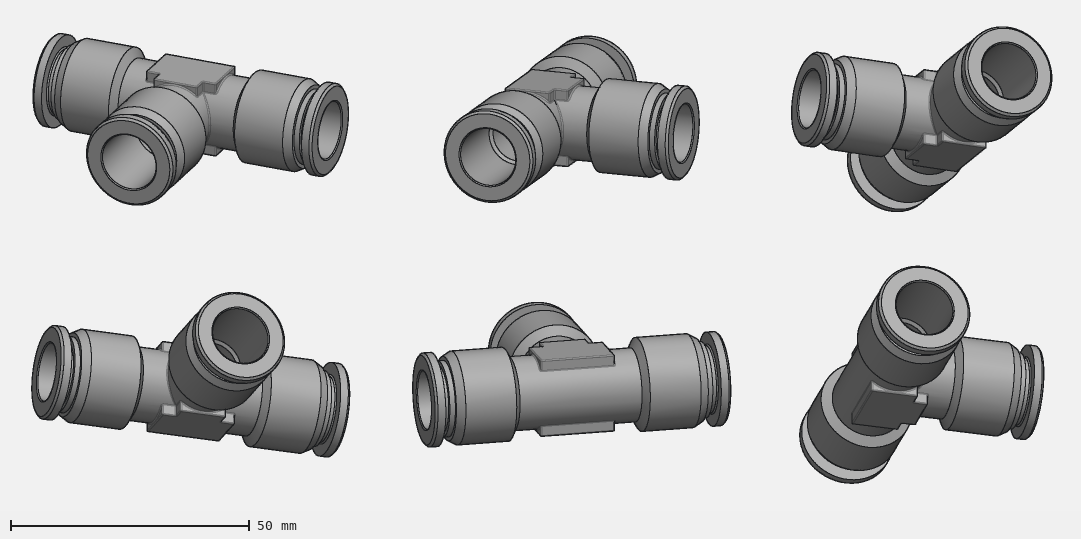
import cadquery as cq
PORT_REACH = 32.0
PORT_ANGLES = (0, 180, -90)

FLANGE_RADIUS = 9.92
FLANGE_THICKNESS = 2.2
FLANGE_CHAMFER = 0.5
NECK_RADIUS = 7.1
NECK_LENGTH = 1.35
NECK_FLARE = 0.3
RING_RADIUS = 8.05
RING_LENGTH = 1.2

SLEEVE_RADIUS = 9.9
SLEEVE_TIP_RADIUS = 8.9
SLEEVE_TIP_LENGTH = 1.8
SLEEVE_LENGTH = 14.05
SLEEVE_ROOT_LENGTH = 1.25

PIPE_RADIUS = 7.8

MOUTH_CHAMFER = 0.25
SOCKET_RADIUS = 6.15
PASSAGE_RADIUS = 5.5

PAD_HALF_WIDTH = 8.0
PAD_HALF_DEPTH = 5.0
TONGUE_HALF_WIDTH = 5.0
TONGUE_END = 8.0
PAD_HALF_HEIGHT = 8.35
JUNCTION_FILLET = 0.25
EDGE_TOLERANCE = 0.01

FLANGE_BACK = PORT_REACH - FLANGE_THICKNESS
NECK_BACK = FLANGE_BACK - NECK_LENGTH
SLEEVE_TIP = NECK_BACK - RING_LENGTH
SLEEVE_FRONT = SLEEVE_TIP - SLEEVE_TIP_LENGTH
SLEEVE_ROOT = SLEEVE_TIP - SLEEVE_LENGTH
SLEEVE_BACK = SLEEVE_ROOT + SLEEVE_ROOT_LENGTH
SOCKET_END = SLEEVE_BACK
STOP_END = SOCKET_END - (SOCKET_RADIUS - PASSAGE_RADIUS)


def revolve_port(profile, angle):
    """Revolve a closed (distance, radius) profile about X, then turn it about Z."""
    port = cq.Workplane("XY").polyline(profile).close().revolve(360, (0, 0, 0), (1, 0, 0))
    return port.rotate((0, 0, 0), (0, 0, 1), angle)


def pipe_stub(angle):
    profile = [(0, 0), (0, PIPE_RADIUS), (SLEEVE_ROOT, PIPE_RADIUS), (SLEEVE_ROOT, 0)]
    return revolve_port(profile, angle)


def port_end(angle):
    profile = [
        (SLEEVE_ROOT, 0),
        (SLEEVE_ROOT, PIPE_RADIUS),
        (SLEEVE_BACK, SLEEVE_RADIUS),
        (SLEEVE_FRONT, SLEEVE_RADIUS),
        (SLEEVE_TIP, SLEEVE_TIP_RADIUS),
        (SLEEVE_TIP, RING_RADIUS),
        (NECK_BACK, RING_RADIUS),
        (NECK_BACK, NECK_RADIUS),
        (FLANGE_BACK - NECK_FLARE, NECK_RADIUS),
        (FLANGE_BACK, NECK_RADIUS + NECK_FLARE),
        (FLANGE_BACK, FLANGE_RADIUS),
        (PORT_REACH - FLANGE_CHAMFER, FLANGE_RADIUS),
        (PORT_REACH, FLANGE_RADIUS - FLANGE_CHAMFER),
        (PORT_REACH, 0),
    ]
    return revolve_port(profile, angle)


def port_bore(angle):
    profile = [
        (0, 0),
        (0, PASSAGE_RADIUS),
        (STOP_END, PASSAGE_RADIUS),
        (SOCKET_END, SOCKET_RADIUS),
        (PORT_REACH - MOUTH_CHAMFER, SOCKET_RADIUS),
        (PORT_REACH, SOCKET_RADIUS + MOUTH_CHAMFER),
        (PORT_REACH, 0),
    ]
    return revolve_port(profile, angle)


def pads():
    """T-shaped prism whose top and bottom stand proud of the pipes."""
    outline = [
        (-PAD_HALF_WIDTH, PAD_HALF_DEPTH),
        (PAD_HALF_WIDTH, PAD_HALF_DEPTH),
        (PAD_HALF_WIDTH, -PAD_HALF_DEPTH),
        (TONGUE_HALF_WIDTH, -PAD_HALF_DEPTH),
        (TONGUE_HALF_WIDTH, -TONGUE_END),
        (-TONGUE_HALF_WIDTH, -TONGUE_END),
        (-TONGUE_HALF_WIDTH, -PAD_HALF_DEPTH),
        (-PAD_HALF_WIDTH, -PAD_HALF_DEPTH),
    ]
    return cq.Workplane("XY").polyline(outline).close().extrude(PAD_HALF_HEIGHT, both=True)


def is_junction_edge(edge):
    """True for pad edges, pad feet and the miters between pipes; false for pipe seams and ends."""
    middle = edge.positionAt(0.5)
    within_width = abs(middle.x) < PAD_HALF_WIDTH + EDGE_TOLERANCE
    within_depth = -TONGUE_END - EDGE_TOLERANCE < middle.y < PAD_HALF_DEPTH + EDGE_TOLERANCE
    off_mid_plane = abs(middle.z) > EDGE_TOLERANCE
    return within_width and within_depth and off_mid_plane


def junction():
    """Pipes and pads, with one small fillet radius on every edge where they meet or end."""
    body = pads()
    for angle in PORT_ANGLES:
        body = body.union(pipe_stub(angle))
    rounded_edges = [edge for edge in body.edges().vals() if is_junction_edge(edge)]
    return body.newObject(rounded_edges).fillet(JUNCTION_FILLET)


result = junction()
for port_angle in PORT_ANGLES:
    result = result.union(port_end(port_angle))
for port_angle in PORT_ANGLES:
    result = result.cut(port_bore(port_angle))